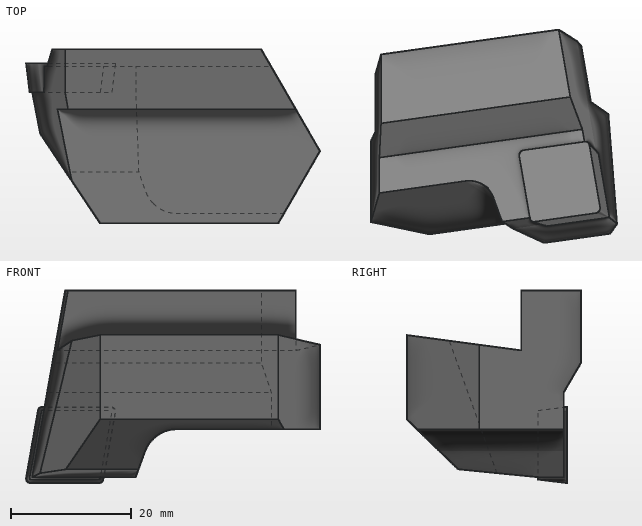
import cadquery as cq
import math

LENGTH = 48.75
DEPTH = 28.9
HEIGHT = 32.0

WALL_FRONT_Y = 18.95
SHELF_BACK_Z = 22.05
SHELF_FRONT_Z = 24.55
FRONT_BOTTOM_Z = 10.6
FOOT_FRONT_Y = 8.55
FOOT_FRONT_Z = 2.3
FOOT_BACK_Z = 0.98
BACK_STEP_Y = 26.05
BACK_STEP_TOP_Z = 20.0
BACK_STEP_BOTTOM_Z = 15.05

NOSE_Y = 12.0
NOSE_HALF_ANGLE = 30.0
FRONT_LEFT_X = 12.3
FRONT_LEFT_ANGLE = 33.7

RAKE_ANGLE = 10.0
SIDE_ANGLE = 10.0
RAKE_TOP_X = 6.5

CLEARANCE_Z = 8.9
FOOT_RIGHT_X = 18.2
FOOT_RIGHT_ANGLE = 20.0
CLEARANCE_RADIUS = 5.5

SEAT_Y = 21.75
INSERT_THICKNESS = 4.85
INSERT_EDGE = 12.85
INSERT_CORNER_RADIUS = 0.8
INSERT_CLEARANCE_ANGLE = 7.0


def tan(degrees):
    return math.tan(math.radians(degrees))


def sin(degrees):
    return math.sin(math.radians(degrees))


def cos(degrees):
    return math.cos(math.radians(degrees))


def make_section_prism():
    """Stepped cross-section carried along the full length."""
    return (
        cq.Workplane("YZ")
        .polyline([
            (0, FRONT_BOTTOM_Z),
            (FOOT_FRONT_Y, FOOT_FRONT_Z),
            (SEAT_Y, FOOT_BACK_Z),
            (BACK_STEP_Y, FOOT_BACK_Z),
            (BACK_STEP_Y, BACK_STEP_BOTTOM_Z),
            (DEPTH, BACK_STEP_TOP_Z),
            (DEPTH, HEIGHT),
            (WALL_FRONT_Y, HEIGHT),
            (WALL_FRONT_Y, SHELF_BACK_Z),
            (0, SHELF_FRONT_Z),
        ])
        .close()
        .extrude(LENGTH)
    )


def make_plan_prism():
    """Vertical faces: pointed right end and slanted front left face."""
    nose_slope = tan(NOSE_HALF_ANGLE)
    return (
        cq.Workplane("XY")
        .polyline([
            (FRONT_LEFT_X, 0),
            (LENGTH - NOSE_Y * nose_slope, 0),
            (LENGTH, NOSE_Y),
            (LENGTH - (DEPTH - NOSE_Y) * nose_slope, DEPTH),
            (0, DEPTH),
            (0, FRONT_LEFT_X / tan(FRONT_LEFT_ANGLE)),
        ])
        .close()
        .extrude(HEIGHT)
    )


def make_raked_prism():
    """Oblique prism whose left side gives the two raked faces."""
    shift = HEIGHT * tan(RAKE_ANGLE)
    bottom_x = RAKE_TOP_X - shift
    outline = [
        (bottom_x, DEPTH),
        (bottom_x, SEAT_Y),
        (bottom_x + SEAT_Y * tan(SIDE_ANGLE), 0),
        (LENGTH, 0),
        (LENGTH, DEPTH),
    ]
    return (
        cq.Workplane("XY")
        .polyline(outline)
        .close()
        .workplane(offset=HEIGHT)
        .polyline([(x + shift, y) for x, y in outline])
        .close()
        .loft(ruled=True)
    )


def make_clearance():
    """Space beside the foot, with a rounded inner corner."""
    corner_x = FOOT_RIGHT_X + (CLEARANCE_Z - FOOT_BACK_Z) * tan(FOOT_RIGHT_ANGLE)
    bottom_x = FOOT_RIGHT_X - FOOT_BACK_Z * tan(FOOT_RIGHT_ANGLE)
    tangent = CLEARANCE_RADIUS * tan((90 - FOOT_RIGHT_ANGLE) / 2)
    arc_start = (
        corner_x - tangent * sin(FOOT_RIGHT_ANGLE),
        CLEARANCE_Z - tangent * cos(FOOT_RIGHT_ANGLE),
    )
    arc_end = (corner_x + tangent, CLEARANCE_Z)
    return (
        cq.Workplane("XZ")
        .moveTo(bottom_x, 0)
        .lineTo(*arc_start)
        .radiusArc(arc_end, CLEARANCE_RADIUS)
        .lineTo(LENGTH, CLEARANCE_Z)
        .lineTo(LENGTH, 0)
        .close()
        .extrude(-DEPTH)
    )


def make_insert():
    """Rhombic insert with rounded corners, narrowing toward its seat."""
    corner_x = INSERT_CORNER_RADIUS * (1 - (1 + sin(RAKE_ANGLE)) / cos(RAKE_ANGLE))
    lean = INSERT_EDGE * sin(RAKE_ANGLE)
    rise = INSERT_EDGE * cos(RAKE_ANGLE)
    outline = (
        cq.Sketch()
        .polygon([
            (corner_x, 0),
            (corner_x + INSERT_EDGE, 0),
            (corner_x + INSERT_EDGE + lean, rise),
            (corner_x + lean, rise),
            (corner_x, 0),
        ])
        .vertices()
        .fillet(INSERT_CORNER_RADIUS)
    )
    return (
        cq.Workplane("XZ", origin=(0, SEAT_Y + INSERT_THICKNESS, 0))
        .placeSketch(outline)
        .extrude(INSERT_THICKNESS, taper=INSERT_CLEARANCE_ANGLE)
    )


def make_housing(insert):
    """Housing with a pocket matching the insert."""
    return (
        make_section_prism()
        .intersect(make_plan_prism())
        .intersect(make_raked_prism())
        .cut(make_clearance())
        .cut(insert)
    )


insert = make_insert()
housing = make_housing(insert)

result = cq.Compound.makeCompound([*housing.vals(), insert.val()])